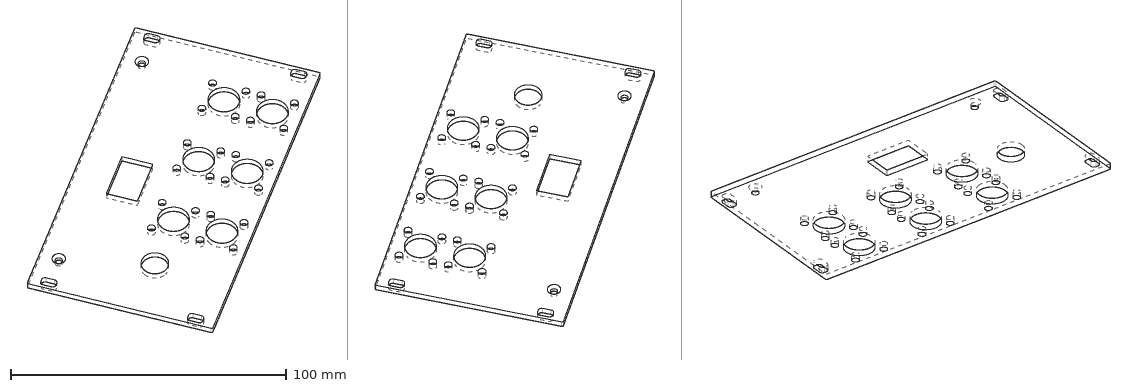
import cadquery as cq

panel_width = 70.7
panel_height = 128.4
panel_thickness = 2.5
panel_corner_radius = 0.5

slot_length = 5.8
slot_width = 3.5
slot_corner_radius = 1.3
slot_offset_x = 28.0
slot_offset_y = 61.2

screw_diameter = 2.7
screw_head_diameter = 4.9
screw_countersink_angle = 90
screw_offset_y = 49.4

socket_diameter = 11.5
fixing_diameter = 2.8
fixing_pitch = 12.7
socket_columns = 2
socket_rows = 3
socket_column_pitch = 18.5
first_socket_x = 5.9
top_socket_y = 41.2
bottom_socket_y = -18.7
socket_row_pitch = (top_socket_y - bottom_socket_y) / (socket_rows - 1)

round_opening_diameter = 10.0
round_opening_y = -40.8

window_width = 11.8
window_height = 18.5
window_corner_radius = 0.3
window_x = -15.2
window_y = -5.3


def through_cutter():
    """Workplane on the underside, from which every through cutter is extruded."""
    return cq.Workplane("XY").workplane(offset=-panel_thickness / 2)


def mounting_slots():
    pattern = through_cutter().rarray(2 * slot_offset_x, 2 * slot_offset_y, 2, 2)
    slots = pattern.rect(slot_length, slot_width).extrude(panel_thickness)
    return slots.edges("|Z").fillet(slot_corner_radius)


def socket_openings():
    centres = [
        (first_socket_x + column * socket_column_pitch, top_socket_y - row * socket_row_pitch)
        for column in range(socket_columns)
        for row in range(socket_rows)
    ]
    half_pitch = fixing_pitch / 2
    fixings = [
        (x + side * half_pitch, y + end * half_pitch)
        for x, y in centres
        for side in (-1, 1)
        for end in (-1, 1)
    ]
    bores = through_cutter().pushPoints(centres).circle(socket_diameter / 2).extrude(panel_thickness)
    fixing_holes = through_cutter().pushPoints(fixings).circle(fixing_diameter / 2).extrude(panel_thickness)
    return bores.add(fixing_holes).combine()


def round_opening():
    centre = through_cutter().center(first_socket_x, round_opening_y)
    return centre.circle(round_opening_diameter / 2).extrude(panel_thickness)


def window():
    centre = through_cutter().center(window_x, window_y)
    block = centre.rect(window_width, window_height).extrude(panel_thickness)
    return block.edges("|Z").fillet(window_corner_radius)


panel = cq.Workplane("XY").box(panel_width, panel_height, panel_thickness)
panel = panel.edges("|Z").fillet(panel_corner_radius)
for cutter in (mounting_slots(), socket_openings(), round_opening(), window()):
    panel = panel.cut(cutter)

screw_centres = [(-slot_offset_x, screw_offset_y), (-slot_offset_x, -screw_offset_y)]
result = (
    panel.faces(">Z")
    .workplane(origin=(0, 0, 0))
    .pushPoints(screw_centres)
    .cskHole(screw_diameter, screw_head_diameter, screw_countersink_angle)
)